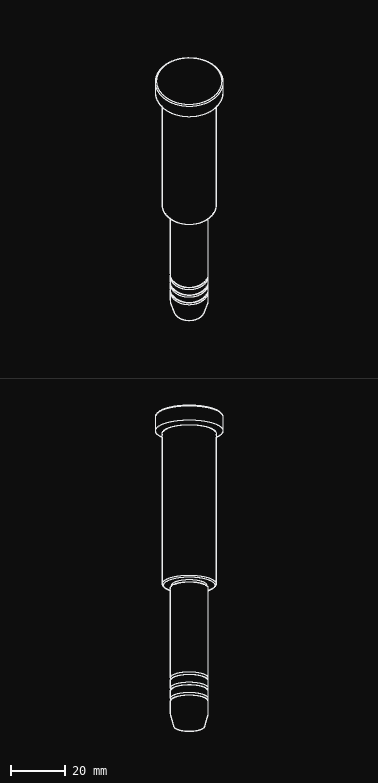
import cadquery as cq
import math

total_length = 121.0
head_diameter = 25.0
head_height = 6.0
head_chamfer = 0.5
body_diameter = 20.0
body_length = 60.0
body_chamfer = 0.5
shank_diameter = 14.0

groove_radius = 0.5
groove_pitch = 4.0
groove_count = 3
lowest_groove_z = 10.5

undercut_depth = 0.5
undercut_length = 1.0

tip_length = 5.0
tip_angle = 15.0
tip_fillet = 0.5

head_bottom_z = total_length - head_height
body_bottom_z = head_bottom_z - body_length


def disc(diameter, bottom_z, height):
    """Solid cylinder centred on the pin axis."""
    return cq.Workplane("XY").workplane(offset=bottom_z).circle(diameter / 2).extrude(height)


def turn(profile):
    """Turn a closed radius-height profile about the pin axis."""
    return profile.close().revolve(360, (0, 0, 0), (0, 1, 0))


def make_head():
    head = disc(head_diameter, head_bottom_z, head_height)
    return head.faces(">Z").edges().chamfer(head_chamfer)


def make_body():
    body = disc(body_diameter, body_bottom_z, body_length)
    return body.faces("<Z").edges().chamfer(body_chamfer)


def make_shank():
    radius = shank_diameter / 2
    end_radius = radius - tip_length * math.tan(math.radians(tip_angle))
    profile = (
        cq.Workplane("XZ")
        .lineTo(end_radius, 0)
        .lineTo(radius, tip_length)
        .lineTo(radius, body_bottom_z)
        .lineTo(0, body_bottom_z)
    )
    return turn(profile).faces("<Z").edges().fillet(tip_fillet)


def make_undercut():
    """Ring removed from the shank just below the body."""
    bottom_z = body_bottom_z - undercut_length
    neck_diameter = shank_diameter - 2 * undercut_depth
    neck = disc(neck_diameter, bottom_z, undercut_length)
    return disc(shank_diameter, bottom_z, undercut_length).cut(neck)


def make_groove(diameter, center_z):
    """Half-round ring removed from a cylinder of the given diameter."""
    radius = diameter / 2
    profile = (
        cq.Workplane("XZ")
        .moveTo(radius, center_z - groove_radius)
        .threePointArc((radius - groove_radius, center_z), (radius, center_z + groove_radius))
    )
    return turn(profile)


result = make_head().union(make_body()).union(make_shank())
result = result.cut(make_undercut())
result = result.cut(make_groove(body_diameter, head_bottom_z - groove_radius))
for index in range(groove_count):
    groove_z = lowest_groove_z + index * groove_pitch
    result = result.cut(make_groove(shank_diameter, groove_z))